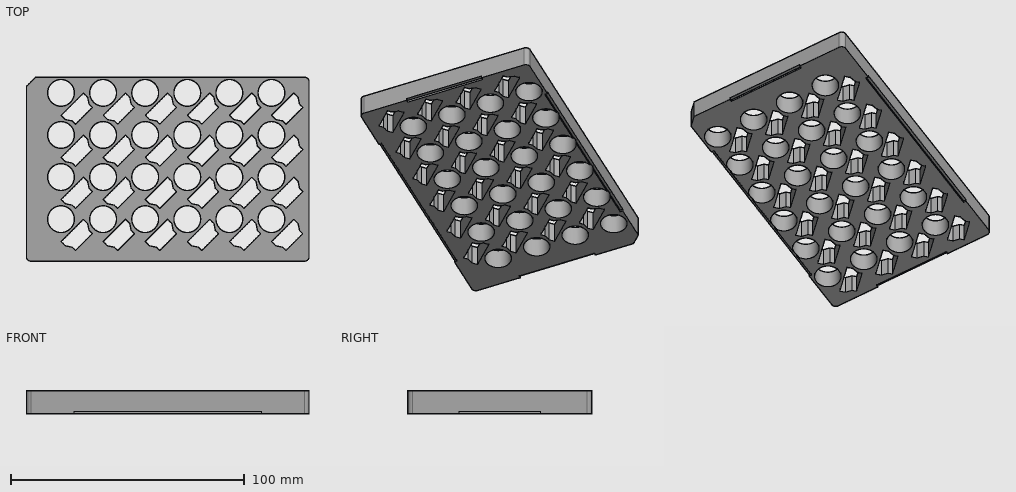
import cadquery as cq
import math

LENGTH = 121.0
WIDTH = 78.75
HEIGHT = 10.0
CORNER_RADIUS = 2.0
KEY_CHAMFER = 4.0

COLUMNS = 6
ROWS = 4
PITCH = 18.0
WELL_DIAMETER = 11.35
FIRST_WELL_X = -45.65
FIRST_WELL_Y = 32.65

SLOT_ANGLE = 45.0
SLOT_OFFSET = 10.35
SLOT_WIDTH = 7.0
SLOT_LONG_SIDE = 13.4
SLOT_SHORT_SIDE = 10.1
SLOT_LONG_STRETCH = 2.5
SLOT_SHORT_STRETCH = 2.0

NOTCH_HEIGHT = 1.0
NOTCH_DEPTH = 1.25
LONG_WALL_NOTCH = 80.0
SHORT_WALL_NOTCH = 35.0


def plate():
    """Rectangular plate with one chamfered corner and three rounded ones."""
    body = cq.Workplane("XY").box(LENGTH, WIDTH, HEIGHT, centered=(True, True, False))
    body = body.edges("|Z and (<Y or >X)").fillet(CORNER_RADIUS)
    return body.edges("|Z and <X and >Y").chamfer(KEY_CHAMFER)


def well_positions():
    """Centres of all wells, column by column."""
    positions = []
    for column in range(COLUMNS):
        for row in range(ROWS):
            positions.append((FIRST_WELL_X + column * PITCH, FIRST_WELL_Y - row * PITCH))
    return positions


def wells():
    """Round through holes on the grid."""
    return cq.Workplane("XY").pushPoints(well_positions()).circle(WELL_DIAMETER / 2).extrude(HEIGHT)


def slots():
    """Stepped through slots, each lying diagonally below and to the right of its well."""
    half_long = SLOT_LONG_SIDE / 2
    half_short = SLOT_SHORT_SIDE / 2
    long_edge = SLOT_WIDTH / 2
    short_edge = -SLOT_WIDTH / 2
    right_end = [
        (half_short, short_edge),
        (half_short, short_edge + SLOT_SHORT_STRETCH),
        (half_long, long_edge - SLOT_LONG_STRETCH),
        (half_long, long_edge),
    ]
    left_end = [(-along, across) for along, across in reversed(right_end)]
    slot = cq.Workplane("XY").polyline(right_end + left_end).close().extrude(HEIGHT)
    slot = slot.rotate((0, 0, 0), (0, 0, 1), SLOT_ANGLE)

    step_x = SLOT_OFFSET * math.sin(math.radians(SLOT_ANGLE))
    step_y = -SLOT_OFFSET * math.cos(math.radians(SLOT_ANGLE))
    slot_centres = [(x + step_x, y + step_y) for x, y in well_positions()]
    shape = slot.val()
    return cq.Workplane("XY").pushPoints(slot_centres).eachpoint(shape, combine=False)


def wall_notches():
    """Blocks that cut the notch in the bottom edge of each side wall."""
    long_walls = (
        cq.Workplane("XY")
        .pushPoints([(0, -WIDTH / 2), (0, WIDTH / 2)])
        .rect(LONG_WALL_NOTCH, 2 * NOTCH_DEPTH)
        .extrude(NOTCH_HEIGHT)
    )
    short_walls = (
        cq.Workplane("XY")
        .pushPoints([(-LENGTH / 2, 0), (LENGTH / 2, 0)])
        .rect(2 * NOTCH_DEPTH, SHORT_WALL_NOTCH)
        .extrude(NOTCH_HEIGHT)
    )
    return long_walls.union(short_walls)


result = plate().cut(wells()).cut(slots()).cut(wall_notches())